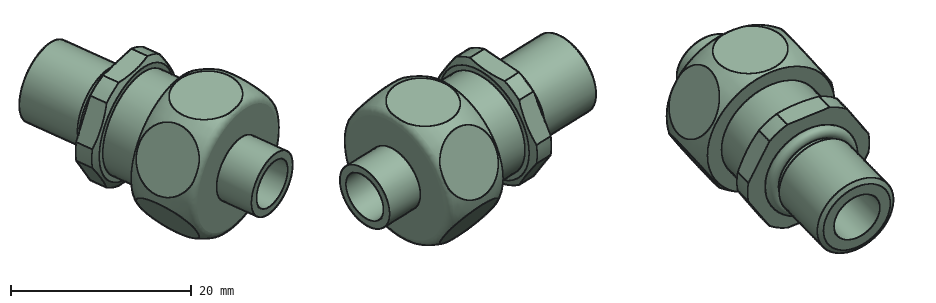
import cadquery as cq
import math

total_length = 31.0
thread_end = 8.55
flange_start = 10.0
flange_end = 12.65
nut_start = 17.75
nut_end = 26.3

bore_diameter = 6.0
thread_diameter = 10.0
neck_diameter = 8.77
body_diameter = 13.0
tube_diameter = 8.0
lead_chamfer = 0.3
thread_chamfer = 0.37

ring_section_radius = 0.75
ring_outer_diameter = 11.87
ring_center_x = 9.42

flange_across_flats = 15.0
flange_corner_diameter = 16.0
flange_chamfer_length = 0.43
flange_end_diameter = 14.32

nut_across_flats = 17.0
nut_crown_diameter = 18.97
nut_crown_arc_radius = 8.55
nut_crown_x = 22.05
nut_edge_fillet = 1.0


def revolve_about_x(profile):
    """Revolve a closed (x, radius) profile about the X axis."""
    return profile.close().revolve(360, (0, 0, 0), (1, 0, 0))


def hex_prism(across_flats, start, end):
    """Hexagonal prism along X with flats facing +Z and -Z."""
    across_corners = across_flats / math.cos(math.radians(30))
    prism = cq.Workplane("YZ").workplane(offset=start)
    return prism.polygon(6, across_corners).extrude(end - start)


def make_core():
    """Chamfered spigot, neck, round body and tail tube in one turned piece."""
    thread_r = thread_diameter / 2
    neck_r = neck_diameter / 2
    body_r = body_diameter / 2
    tube_r = tube_diameter / 2
    profile = cq.Workplane("XY").polyline([
        (0, 0),
        (0, neck_r),
        (lead_chamfer, thread_r),
        (thread_end - thread_chamfer, thread_r),
        (thread_end, neck_r),
        (flange_start, neck_r),
        (flange_start, body_r),
        (nut_end, body_r),
        (nut_end, tube_r),
        (total_length, tube_r),
        (total_length, 0),
    ])
    return revolve_about_x(profile)


def make_seal_ring():
    center_radius = ring_outer_diameter / 2 - ring_section_radius
    section = cq.Workplane("XY").center(ring_center_x, center_radius).circle(ring_section_radius)
    return section.revolve(360, (0, -center_radius, 0), (1, -center_radius, 0))


def make_flange():
    """Hexagon with turned corners and a conical chamfer on the nut side."""
    corner_r = flange_corner_diameter / 2
    envelope = revolve_about_x(cq.Workplane("XY").polyline([
        (flange_start, 0),
        (flange_start, corner_r),
        (flange_end - flange_chamfer_length, corner_r),
        (flange_end, flange_end_diameter / 2),
        (flange_end, 0),
    ]))
    return hex_prism(flange_across_flats, flange_start, flange_end).intersect(envelope)


def crown_radius(x):
    """Radius of the crowned nut envelope at axial position x."""
    arc_center_radius = nut_crown_diameter / 2 - nut_crown_arc_radius
    return arc_center_radius + math.sqrt(nut_crown_arc_radius ** 2 - (x - nut_crown_x) ** 2)


def make_nut():
    """Hexagon cut by a barrel-shaped envelope with a rounded outer edge, leaving round flats."""
    envelope = revolve_about_x(
        cq.Workplane("XY")
        .moveTo(nut_start, 0)
        .lineTo(nut_start, crown_radius(nut_start))
        .threePointArc(
            (nut_crown_x, nut_crown_diameter / 2),
            (nut_end, crown_radius(nut_end)),
        )
        .lineTo(nut_end, 0)
    )
    envelope = envelope.faces(">X").edges().fillet(nut_edge_fillet)
    return hex_prism(nut_across_flats, nut_start, nut_end).intersect(envelope)


bore = cq.Workplane("YZ").circle(bore_diameter / 2).extrude(total_length)
solid_fitting = make_core().union(make_seal_ring()).union(make_flange()).union(make_nut())
result = solid_fitting.cut(bore)